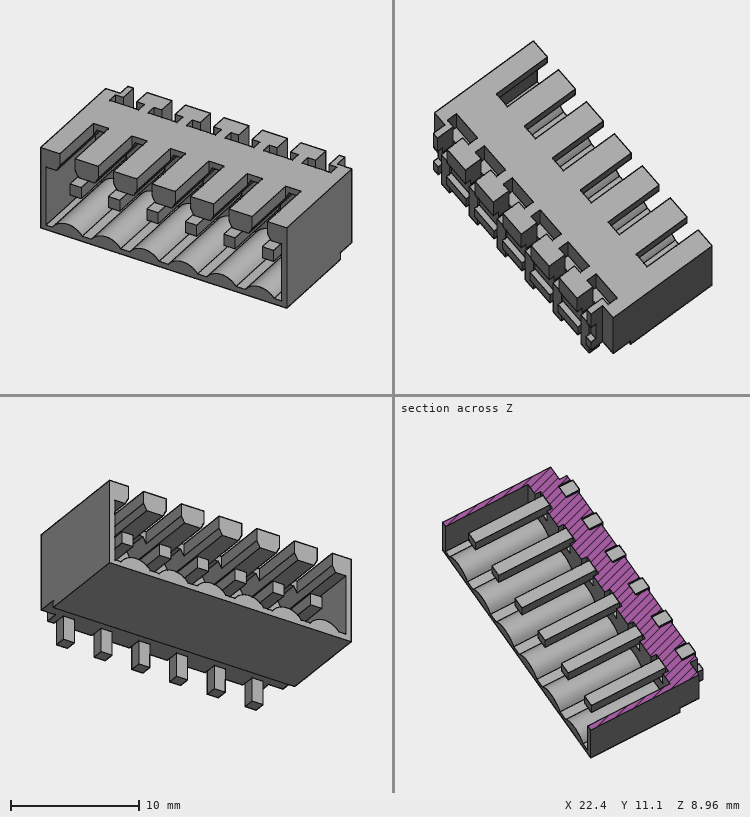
import cadquery as cq
import math


POLE_COUNT = 6
POLE_SPAN = 17.5
POLE_PITCH = POLE_SPAN / (POLE_COUNT - 1)
POLE_XS = [-POLE_SPAN / 2 + i * POLE_PITCH for i in range(POLE_COUNT)]

LENGTH = 22.4
DEPTH = 11.05
HEIGHT = 7.48
REAR_STEP_Y = 9.88
REAR_WIDTH = 19.75
FOOT_Y = 8.15
FOOT_HEIGHT = 0.63

GROOVE_BOTTOM = 2.13
GROOVE_TOP = 4.88
GROOVE_DEPTH = 0.5

CAVITY_DEPTH = 7.5
SIDE_WALL = 0.5
CEILING = 5.82
KEYWAY_TOP = 6.95
KEYWAY_TOP_WIDTH = 0.78
KEYWAY_BASE_WIDTH = 2.0
FLOOR = 0.5
FLOOR_LEFT_END = 0.43
FLOOR_RIGHT_END = 0.54
RIDGE_TOP = 1.16
RIDGE_RADIUS = 1.65

TOP_SLOT_WIDTH = 1.4
TOP_SLOT_LENGTH = 5.08

T_WING_WIDTH = 2.65
T_WING_FRONT = 8.58
T_WING_REAR = 9.48
T_WING_FLOOR = GROOVE_TOP
T_STEM_WIDTH = 1.2

PIN_SIZE = 1.03
PIN_FRONT = 1.23
PIN_REAR = 10.73
PIN_TOP = 4.05
PIN_DROP = 1.48
PIN_AXIS_Z = PIN_TOP - PIN_SIZE / 2

RECESS_SIZE = 1.77
RECESS_DEPTH = 0.5


def box(x_mid, width, y0, y1, z0, z1):
    """Box centred on x_mid, between two planes in Y and two in Z."""
    corner = (x_mid - width / 2, y0, z0)
    return cq.Workplane("XY").box(width, y1 - y0, z1 - z0, centered=False).translate(corner)


def housing_block():
    """Outer block with its narrower rear, raised rear underside and rear groove."""
    main = box(0, LENGTH, 0, REAR_STEP_Y, 0, HEIGHT)
    rear = box(0, REAR_WIDTH, REAR_STEP_Y, DEPTH, 0, HEIGHT)
    under_rear = box(0, LENGTH, FOOT_Y, DEPTH, 0, FOOT_HEIGHT)
    groove = box(0, LENGTH, DEPTH - GROOVE_DEPTH, DEPTH, GROOVE_BOTTOM, GROOVE_TOP)
    return main.union(rear).cut(under_rear).cut(groove)


def ridge_half_width(floor):
    """Half the width of a round floor ridge where it meets a floor of this height."""
    rise = floor - (RIDGE_TOP - RIDGE_RADIUS)
    return math.sqrt(RIDGE_RADIUS**2 - rise**2)


def plug_cavity():
    """Cavity with round ridges on its floor and tapered keyways in its ceiling."""
    half_width = LENGTH / 2 - SIDE_WALL
    left_floors = [FLOOR_LEFT_END] + [FLOOR] * (POLE_COUNT - 1)
    right_floors = [FLOOR] * (POLE_COUNT - 1) + [FLOOR_RIGHT_END]

    outline = cq.Workplane("XZ").moveTo(-half_width, FLOOR_LEFT_END)
    for x, left_floor, right_floor in zip(POLE_XS, left_floors, right_floors):
        outline = outline.lineTo(x - ridge_half_width(left_floor), left_floor)
        ridge_end = (x + ridge_half_width(right_floor), right_floor)
        outline = outline.threePointArc((x, RIDGE_TOP), ridge_end)
    outline = outline.lineTo(half_width, FLOOR_RIGHT_END).lineTo(half_width, CEILING)
    for x in reversed(POLE_XS):
        outline = outline.lineTo(x + KEYWAY_BASE_WIDTH / 2, CEILING)
        outline = outline.lineTo(x + KEYWAY_TOP_WIDTH / 2, KEYWAY_TOP)
        outline = outline.lineTo(x - KEYWAY_TOP_WIDTH / 2, KEYWAY_TOP)
        outline = outline.lineTo(x - KEYWAY_BASE_WIDTH / 2, CEILING)
    return outline.lineTo(-half_width, CEILING).close().extrude(-CAVITY_DEPTH)


def top_slot(x):
    """Slot through the top wall into the keyway."""
    return box(x, TOP_SLOT_WIDTH, 0, TOP_SLOT_LENGTH, CEILING, HEIGHT)


def t_slot_wings(x):
    """Wide front part of the rear T-slot."""
    return box(x, T_WING_WIDTH, T_WING_FRONT, T_WING_REAR, T_WING_FLOOR, HEIGHT)


def t_slot_stem(x):
    """Narrow rear part of the T-slot, down to the top of the pin."""
    return box(x, T_STEM_WIDTH, T_WING_REAR, DEPTH, PIN_TOP, HEIGHT)


def pin_recess(x):
    """Square recess around the pin in the rear wall of the cavity."""
    z0 = PIN_AXIS_Z - RECESS_SIZE / 2
    return box(x, RECESS_SIZE, CAVITY_DEPTH, CAVITY_DEPTH + RECESS_DEPTH, z0, z0 + RECESS_SIZE)


def pin_leg_slot(x):
    """Slot for the pin's leg, open to the rear and downwards."""
    return box(x, PIN_SIZE, PIN_REAR - PIN_SIZE, DEPTH, 0, PIN_TOP)


def make_pin(x):
    """L-shaped pin: a contact bar along Y and a leg pointing down."""
    contact = box(x, PIN_SIZE, PIN_FRONT, PIN_REAR, PIN_TOP - PIN_SIZE, PIN_TOP)
    leg = box(x, PIN_SIZE, PIN_REAR - PIN_SIZE, PIN_REAR, -PIN_DROP, PIN_TOP)
    return contact.union(leg)


def make_housing(pins):
    """Housing with its cavity and slots, and with a fitting hole for every pin."""
    body = housing_block().cut(plug_cavity())
    for x, pin in zip(POLE_XS, pins):
        for feature in (top_slot, t_slot_wings, t_slot_stem, pin_recess, pin_leg_slot):
            body = body.cut(feature(x))
        body = body.cut(pin)
    return body


pins = [make_pin(x) for x in POLE_XS]
housing = make_housing(pins)

result = cq.Compound.makeCompound([housing.solids().val(), *[pin.solids().val() for pin in pins]])